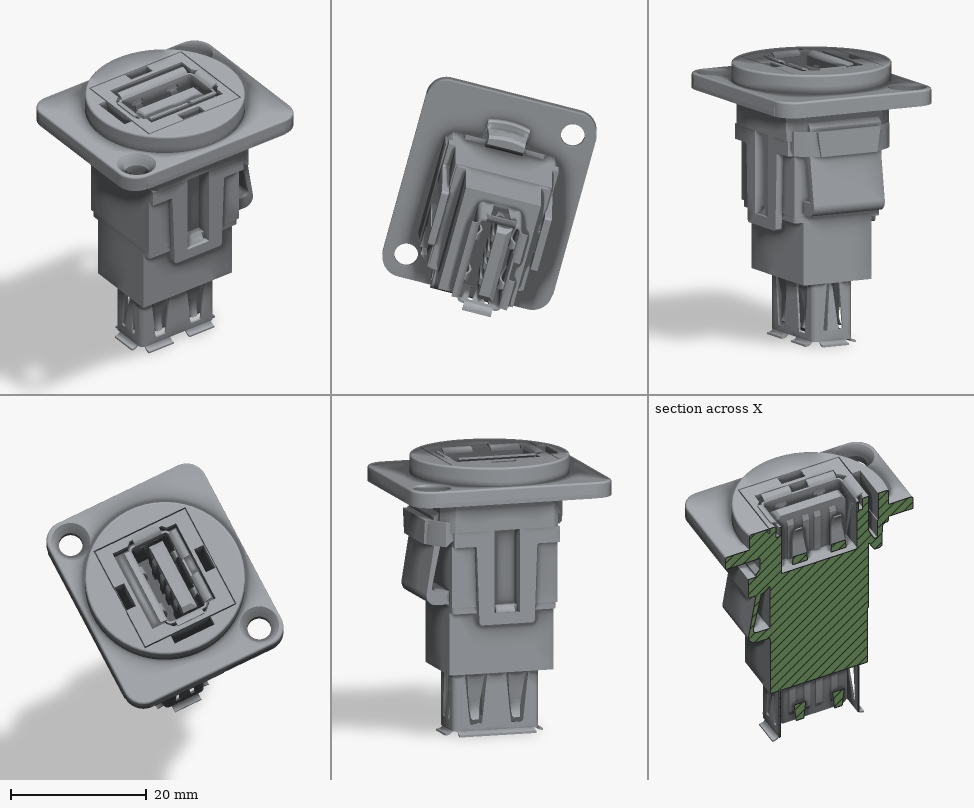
import cadquery as cq

arc_inset = 1 - 0.5 ** 0.5

plate_width = 26.0
plate_length = 31.0
plate_thickness = 2.4
plate_corner = 3.0
side_draft = 0.105
side_rim_height = 0.63
edge_fillet = 0.35
disc_radius = 11.8
disc_top = 5.2
hole_x = 9.5
hole_y = 12.0
hole_diameter = 3.5
sink_diameter = 5.78
sink_angle = 78

collar_top_half = 8.7
collar_bottom_half = 8.6
collar_front = -8.1
collar_back = 9.85
collar_height = 4.77
collar_chamfer = 0.95
body_width = 14.65
body_length = 16.35
body_bottom = -16.3
lip_width = 14.3
lip_bottom = -17.3
lip_corner = 0.5
block_width = 11.4
block_length = 16.1
block_bottom = -26.7

arm_half_width = 8.37
shoulder_bottom = -7.1
shoulder_fillet = 0.3
arm_bottom = -18.9
arm_top_half = 4.7
arm_bottom_half = 4.25
arm_corner = 0.4
slot_half = 1.95
slot_inner = 5.78
slot_outlet = 7.07
wedge_half = 1.45
wedge_reach = 0.65

seam_width = 0.2
seam_depth = 0.85
module_width = 15.15
module_length = body_length + 2 * seam_width

latch_slot_width = 6.57
latch_slot_depth = 1.55
front_wedge_width = 12.0
front_wedge_top = -1.4
front_wedge_reach = 0.9
catch_height = -3.25
hook_root = -3.85
hook_slant = 0.95
latch_draft = 0.1
latch_chamfer = 0.4
latch_radius = 10.8
ledge_half = 3.2
ledge_height = 0.95
ledge_chamfer = 0.3
latch_top_half = 3.0
latch_bottom_half = 2.75
latch_inner = -9.6
latch_bottom = -5.45
latch_fillet = 0.6

lever_half = 5.95
handle_half = 8.0
handle_radius = 12.3
handle_top = -3.25
handle_bottom = -6.95
lever_back = 11.7
grip_top_half = 5.25
grip_bottom_half = 4.7
handle_front = 8.65
handle_chin_front = 8.15
handle_chin_bottom = -6.0
handle_corner = 9.3
lever_latch_front = 9.4
lever_latch_peak = -1.65
lever_latch_shoulder = -2.8
spring_top_inner = 9.55
spring_top_outer = 10.5
spring_foot_top = -14.0
spring_foot_bottom = -15.95
spring_outer_radius = 1.45
spring_inner_radius = 0.63
spring_heel = 11.97
joint_overlap = 0.4

shell_width = 6.65
shell_length = 13.3
shell_wall = 0.3
shell_corner = 0.8
shell_depth = 8.95
lip_height = 0.7
lip_reach = 4.23
side_lip_half = 5.95
end_lip_half = 2.18
lip_split_half = 1.42
tongue_left = -0.3
tongue_width = 2.25
tongue_length = 11.4
tongue_recess = 0.4
tongue_bevel = 0.7
contact_width = 1.0
contact_reach = 0.35
contact_recess = 1.25
contact_slope = 0.85
contact_places = (-3.47, -0.95, 0.95, 3.47)
side_finger_y = 3.2
finger_root = -8.62
side_window_end = -0.9
side_finger_end = -1.6
side_finger_bend = -4.2
side_finger_sink = 0.55
window_corner = 0.3
side_window_root_half = 1.75
side_window_end_half = 0.9
side_finger_root_half = 1.4
side_finger_end_half = 0.6
end_window_root_half = 1.05
end_window_foot_half = 1.65
end_finger_tip_half = 0.25
end_finger_foot_half = 0.9
end_finger_lean = 0.65
end_window_foot = -1.55
end_finger_tip = -8.05
top_socket_x = 0.5
part_top = 5.5
part_bottom = part_top - 41.85

recess_width = 10.45
recess_back = 6.8
recess_front = -6.25
recess_depth = 2.1
recess_end_half = 3.55
recess_end_reach = 7.35
recess_end_taper = 0.9


def block(x_size, y_size, z_low, z_high):
    """Box centred on the Z axis between two heights."""
    return cq.Workplane("XY").workplane(offset=z_low).rect(x_size, y_size).extrude(z_high - z_low)


def bar(x_low, x_high, y_low, y_high, z_low, z_high):
    """Box given by its limits."""
    size = (x_high - x_low, y_high - y_low, z_high - z_low)
    return cq.Workplane("XY").box(*size, centered=False).translate((x_low, y_low, z_low))


def profile_along_x(points, half_width):
    """(Y, Z) outline extruded to both sides of X = 0."""
    return cq.Workplane("YZ").polyline(points).close().extrude(half_width, both=True)


def profile_along_y(points, half_length):
    """(X, Z) outline extruded to both sides of Y = 0."""
    return cq.Workplane("XZ").polyline(points).close().extrude(half_length, both=True)


def both_sides(solid):
    """A feature and its mirror image across X = 0."""
    return solid.union(solid.mirror("YZ"))


def cylinder(radius, z_low, z_high):
    return cq.Workplane("XY").workplane(offset=z_low).circle(radius).extrude(z_high - z_low)


def make_plate():
    top_width = plate_width - 2 * side_draft
    plate = block(top_width, plate_length, 0, plate_thickness)
    plate = plate.edges("|Z").fillet(plate_corner).faces(">Z").edges().fillet(edge_fillet)
    flare = [
        (-plate_width / 2, 0),
        (plate_width / 2, 0),
        (plate_width / 2, side_rim_height),
        (top_width / 2, plate_thickness - edge_fillet),
        (-top_width / 2, plate_thickness - edge_fillet),
        (-plate_width / 2, side_rim_height),
    ]
    plate = plate.union(profile_along_y(flare, plate_length / 2 - plate_corner))
    plate = (
        plate.faces(">Z").workplane(origin=(0, 0, plate_thickness))
        .pushPoints([(-hole_x, hole_y), (hole_x, -hole_y)])
        .cskHole(hole_diameter, sink_diameter, sink_angle)
    )
    disc = cylinder(disc_radius, 0, disc_top).faces(">Z").edges().fillet(edge_fillet)
    return plate.union(disc)


def make_collar():
    """Part of the panel cut-out plug: flat drafted sides within the disc's circle."""
    collar = bar(-collar_top_half, collar_top_half, collar_front, collar_back, -collar_height, 0)
    collar = collar.edges("|Z and <Y").chamfer(collar_chamfer)
    sides = [
        (-collar_bottom_half, -collar_height),
        (-collar_top_half, 0),
        (collar_top_half, 0),
        (collar_bottom_half, -collar_height),
    ]
    collar = collar.intersect(profile_along_y(sides, disc_radius))
    return collar.intersect(cylinder(disc_radius, -collar_height, 0))


def make_body():
    body = block(body_width, body_length, body_bottom, 0)
    shoulder = block(2 * arm_half_width, body_length, shoulder_bottom, -collar_height)
    lip = block(lip_width, block_length, lip_bottom, body_bottom).edges("|Z").fillet(lip_corner)
    lower = block(block_width, block_length, block_bottom, body_bottom)
    return body.union(shoulder).union(lip).union(lower)


def make_side_arms():
    """Tapered tabs hanging from the shoulders, filleted at both ends."""
    blend = shoulder_fillet * arc_inset
    thickness = arm_half_width - body_width / 2
    plane = cq.Workplane("YZ", origin=(-arm_half_width, 0, 0))
    root_half = arm_top_half + shoulder_fillet
    neck = shoulder_bottom - shoulder_fillet
    tab = [
        (-arm_top_half, shoulder_bottom),
        (-arm_bottom_half, arm_bottom),
        (arm_bottom_half, arm_bottom),
        (arm_top_half, shoulder_bottom),
    ]
    arm = plane.polyline(tab).close().extrude(thickness)
    arm = arm.edges("|X and <Z").fillet(arm_corner)
    root = (
        plane.moveTo(-root_half, shoulder_bottom)
        .threePointArc((-arm_top_half - blend, shoulder_bottom - blend), (-arm_top_half, neck))
        .lineTo(arm_top_half, neck)
        .threePointArc((arm_top_half + blend, shoulder_bottom - blend), (root_half, shoulder_bottom))
        .close()
        .extrude(thickness)
    )
    return both_sides(arm.union(root))


def make_side_slots():
    """Shafts from the top face that open sideways through the arms."""
    shaft = bar(-body_width / 2, -slot_inner, -slot_half, slot_half, body_bottom, disc_top)
    opening = bar(-arm_half_width, -slot_inner, -slot_half, slot_half, body_bottom, -collar_height)
    through = bar(-arm_half_width, -slot_outlet, -slot_half, slot_half, lip_bottom, body_bottom)
    return both_sides(shaft.union(opening).union(through))


def make_side_wedges():
    """Sloped catches on the lip, at the foot of the side slots."""
    face = -slot_outlet
    outline = [
        (face + wedge_reach, body_bottom),
        (face, body_bottom),
        (face - wedge_reach, lip_bottom),
        (face + wedge_reach, lip_bottom),
    ]
    return both_sides(profile_along_y(outline, wedge_half))


def make_seam():
    """Narrow groove between the disc and the module in it."""
    low = disc_top - seam_depth
    outer = block(module_width, module_length, low, disc_top)
    inner = block(module_width - 2 * seam_width, module_length - 2 * seam_width, low, disc_top)
    return outer.cut(inner)


def make_latch_slot():
    """Opening through plate and disc in front of the module."""
    y_high = -body_length / 2
    half = latch_slot_width / 2
    return bar(-half, half, y_high - latch_slot_depth, y_high, 0, disc_top)


def make_front_latch():
    """Hooked tongue below the plate and the body wedge it snaps under."""
    body_front = -body_length / 2
    wedge = [
        (body_front, front_wedge_top),
        (body_front, catch_height),
        (body_front - front_wedge_reach, catch_height),
    ]
    wedge = profile_along_x(wedge, front_wedge_width / 2)

    fillet_mid = latch_fillet * arc_inset
    fillet_low = -ledge_height - latch_fillet
    round_front = (
        cq.Workplane("XZ")
        .lineTo(disc_radius, 0)
        .lineTo(disc_radius, ledge_chamfer - ledge_height)
        .lineTo(disc_radius - ledge_chamfer, -ledge_height)
        .lineTo(latch_radius + latch_fillet, -ledge_height)
        .threePointArc(
            (latch_radius + fillet_mid, -ledge_height - fillet_mid), (latch_radius, fillet_low)
        )
        .lineTo(latch_radius - latch_draft, latch_bottom + latch_chamfer)
        .lineTo(latch_radius - latch_draft - latch_chamfer, latch_bottom)
        .lineTo(0, latch_bottom)
        .close()
        .revolve(360, (0, 0, 0), (0, 1, 0))
    )
    side = [
        (latch_inner, 0),
        (latch_inner, catch_height),
        (body_front, catch_height),
        (body_front, hook_root),
        (body_front - hook_slant, latch_bottom),
        (-disc_radius, latch_bottom),
        (-disc_radius, 0),
    ]
    taper = [
        (-ledge_half, 0),
        (-ledge_half, -ledge_height),
        (-latch_top_half, -ledge_height),
        (-latch_bottom_half, latch_bottom),
        (latch_bottom_half, latch_bottom),
        (latch_top_half, -ledge_height),
        (ledge_half, -ledge_height),
        (ledge_half, 0),
    ]
    hook = profile_along_x(side, ledge_half).intersect(profile_along_y(taper, disc_radius))
    return wedge.union(hook.intersect(round_front))


def make_release_lever():
    """Curved handle with a thumb grip and latch, on a spring that bends back into the body."""
    handle = [
        (lever_back, handle_top),
        (handle_front, handle_top),
        (handle_front, -collar_height),
        (handle_chin_front, -collar_height),
        (handle_chin_front, handle_chin_bottom),
        (handle_corner, handle_bottom),
        (lever_back, handle_bottom),
    ]
    handle = profile_along_x(handle, handle_half)
    handle = handle.intersect(cylinder(handle_radius, handle_bottom, handle_top))

    grip = [
        (-grip_top_half, handle_top),
        (-grip_bottom_half, handle_bottom),
        (grip_bottom_half, handle_bottom),
        (grip_top_half, handle_top),
    ]
    grip = profile_along_y(grip, lever_back).intersect(
        bar(-handle_half, handle_half, collar_back, lever_back, handle_bottom, handle_top)
    )

    latch = [
        (lever_latch_front, handle_top),
        (lever_latch_front, lever_latch_peak),
        (spring_top_outer, lever_latch_shoulder),
        (spring_top_outer, handle_top),
    ]
    latch = profile_along_x(latch, lever_half)

    foot_root = body_length / 2 - joint_overlap
    thickness = spring_top_outer - spring_top_inner
    outline = [
        (spring_top_inner, handle_bottom),
        (spring_heel - thickness, spring_foot_top),
        (foot_root, spring_foot_top),
        (foot_root, spring_foot_bottom),
        (spring_heel, spring_foot_bottom),
        (spring_top_outer, handle_bottom),
    ]
    spring = profile_along_x(outline, lever_half)
    spring = spring.edges("|X and <Z and >Y").fillet(spring_outer_radius)
    inner_bend = cq.selectors.NearestToPointSelector((0, spring_heel - thickness, spring_foot_top))
    spring = spring.edges("|X").edges(inner_bend).fillet(spring_inner_radius)
    return handle.union(grip).union(latch).union(spring)


def make_lip(wall_offset, reach, half_length):
    """Flared lip along +X: bends smoothly out of the shell wall to a level edge."""
    inner = wall_offset - shell_wall
    return (
        cq.Workplane("XZ", origin=(0, half_length, 0))
        .moveTo(inner, 0)
        .spline([(reach, lip_height)], tangents=[(1, 2), (1, 0)], includeCurrent=True)
        .lineTo(reach, lip_height - shell_wall)
        .spline([(wall_offset, 0)], tangents=[(-1, 0), (-1, -2)], includeCurrent=True)
        .close()
        .extrude(2 * half_length)
    )


def make_socket_lips():
    """Lips on all four walls, with the +X one split in two."""
    side = make_lip(shell_width / 2, lip_reach, side_lip_half)
    split = bar(0, lip_reach, -lip_split_half, lip_split_half, 0, lip_height)
    end_reach = lip_reach + (shell_length - shell_width) / 2
    end = make_lip(shell_length / 2, end_reach, end_lip_half).rotate((0, 0, 0), (0, 0, 1), 90)
    lips = side.cut(split).union(side.mirror("YZ"))
    return lips.union(end).union(end.mirror("XZ"))


def tapered(plane, half_low, z_low, half_high, z_high, reach):
    """Symmetric trapezoid extruded to both sides of a vertical plane."""
    outline = [(-half_low, z_low), (half_low, z_low), (half_high, z_high), (-half_high, z_high)]
    return cq.Workplane(plane).polyline(outline).close().extrude(reach, both=True)


def make_side_fingers():
    """Pair of bent contact springs in the -X and +X shell walls."""
    outer = shell_width / 2
    inner = outer - shell_wall
    outside = (
        cq.Workplane("XZ", origin=(0, shell_length / 2, 0))
        .moveTo(outer, finger_root)
        .lineTo(inner - side_finger_sink, side_finger_bend)
        .tangentArcPoint((inner, side_finger_end), relative=False)
        .lineTo(shell_width, side_finger_end)
        .lineTo(shell_width, finger_root)
        .close()
        .extrude(shell_length)
    )
    strip = outside.translate((-shell_wall, 0, 0)).cut(outside)
    shape = tapered("YZ", side_finger_root_half, finger_root, side_finger_end_half, side_finger_end, outer)
    finger = strip.intersect(shape.edges("|X and >Z").fillet(window_corner))
    pair = finger.translate((0, side_finger_y, 0)).union(finger.translate((0, -side_finger_y, 0)))
    return both_sides(pair)


def make_end_fingers():
    """Tapered contact springs in the -Y and +Y shell walls, leaning inward."""
    outer = shell_length / 2
    inner = outer - shell_wall
    path = [
        (outer, end_window_foot),
        (outer - end_finger_lean, end_finger_tip),
        (inner - end_finger_lean, end_finger_tip),
        (inner, end_window_foot),
    ]
    shape = tapered(
        "XZ", end_finger_tip_half, end_finger_tip, end_finger_foot_half, end_window_foot, shell_length
    )
    finger = profile_along_x(path, shell_width / 2).intersect(shape)
    return finger.union(finger.mirror("XZ"))


def make_tongue():
    """Contact carrier with a bevelled tip and four contacts."""
    tip = -tongue_recess
    half = tongue_length / 2
    tongue = bar(tongue_left, tongue_left + tongue_width, -half, half, -shell_depth, tip)
    tongue = tongue.edges(">Z and (>X or >Y or <Y)").chamfer(tongue_bevel)
    contact_top = tip - contact_recess
    contact_outline = [
        (tongue_left + contact_reach, contact_top),
        (tongue_left, contact_top),
        (tongue_left - contact_reach, contact_top - contact_slope),
        (tongue_left - contact_reach, -shell_depth),
        (tongue_left + contact_reach, -shell_depth),
    ]
    for y in contact_places:
        contact = profile_along_y(contact_outline, contact_width / 2).translate((0, y, 0))
        tongue = tongue.union(contact)
    return tongue


def make_cavity():
    inner_width = shell_width - 2 * shell_wall
    inner_length = shell_length - 2 * shell_wall
    cavity = block(inner_width, inner_length, -shell_depth, 0)
    return cavity.edges("|Z").fillet(shell_corner - shell_wall)


def make_socket():
    """USB socket opening upward, with the base of its lips at Z = 0."""
    shell = block(shell_width, shell_length, -shell_depth, 0).edges("|Z").fillet(shell_corner)
    shell = shell.cut(make_cavity())
    side_window = tapered(
        "YZ", side_window_root_half, finger_root, side_window_end_half, side_window_end, shell_width
    )
    side_window = side_window.edges("|X and >Z").fillet(window_corner)
    for y in (-side_finger_y, side_finger_y):
        shell = shell.cut(side_window.translate((0, y, 0)))
    end_window = tapered(
        "XZ", end_window_root_half, finger_root, end_window_foot_half, end_window_foot, shell_length
    )
    shell = shell.cut(end_window.edges("|Y").fillet(window_corner))
    shell = shell.union(make_socket_lips())
    return shell.union(make_side_fingers()).union(make_end_fingers()).union(make_tongue())


def make_recess():
    """Opening in the module's top face around the upper socket."""
    floor = disc_top - recess_depth
    half = recess_width / 2
    recess = bar(-half, half, recess_front, recess_back, floor, disc_top)
    ends = block(2 * recess_end_half, 2 * recess_end_reach, floor, disc_top)
    ends = ends.edges("|Z").chamfer(recess_end_taper)
    return recess.union(ends.translate((top_socket_x, 0, 0)))


upper_socket_place = (top_socket_x, 0, part_top - lip_height)
lower_socket_place = (0, 0, part_bottom + lip_height)

result = make_plate().union(make_collar()).union(make_body()).union(make_side_arms())
result = result.cut(make_side_slots()).cut(make_seam()).cut(make_latch_slot())
result = result.cut(make_recess()).cut(make_cavity().translate(upper_socket_place))
result = result.union(make_side_wedges()).union(make_front_latch()).union(make_release_lever())
result = result.union(make_socket().translate(upper_socket_place))
result = result.union(make_socket().mirror("XY").translate(lower_socket_place))